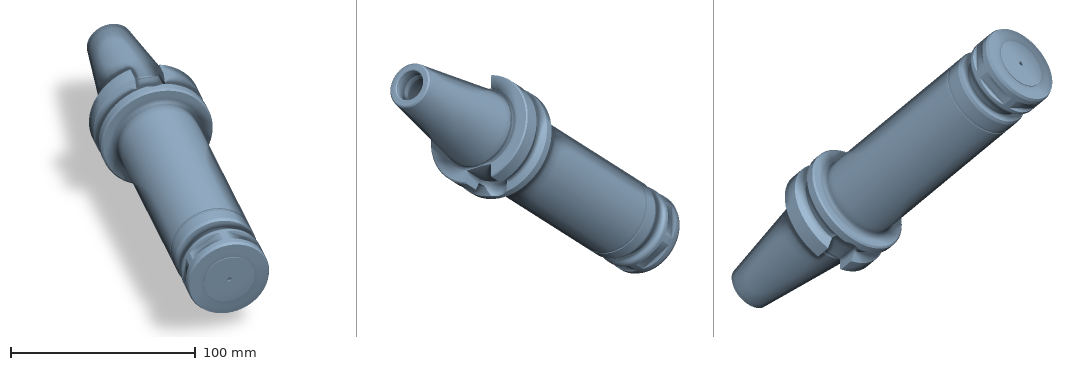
import cadquery as cq

total_length = 230.5
edge_bevel = 0.7

taper_rate = 7 / 24
taper_length = 65.5
gauge_radius = 22.23
taper_tip_radius = gauge_radius - taper_length * taper_rate / 2

neck_radius = 22.0
neck_fillet = 1.0

flange_start = 67.5
recess_radius = 24.0
recess_depth = 0.5
recess_floor = flange_start + recess_depth
flange_end = 92.5
flange_radius = 31.45
flange_rear_bevel = 1.0
groove_floor_start = 80.0
groove_floor_end = 84.0
groove_floor_radius = 26.5
groove_front_flare = 3.2
groove_rear_flare = 3.0

slot_width = 16.1
slot_end = 88.5
slot_floor = 22.46

body_end = 207.0
body_radius = 23.0
body_fillet = 2.3
body_bevel_length = 1.8
ring_start = 195.5
ring_end = 197.7
ring_depth = 0.35

stem_radius = 18.0
nut_start = 213.8
nut_end = 230.0
nut_radius = 23.0
nut_fillet = 2.3
nut_bevel_length = 1.5
nose_radius = 14.3

flat_count = 6
flat_start = 218.2
flat_end = 224.6
across_flats = 41.7
flat_distance = across_flats / 2
flat_wall_slope = 0.3

entry_radius = 9.0
counterbore_radius = 8.5
counterbore_depth = 7.4
lead_in_radius = 7.95
lead_in_length = 1.8
thread_radius = 7.03
thread_depth = 30.0
coolant_chamber_radius = 4.5
coolant_chamber_depth = 46.0
coolant_radius = 1.27


def make_holder():
    """Revolved outer shape, from the taper tip to the nose of the nut."""
    profile = (
        cq.Workplane("XY")
        .lineTo(0, taper_tip_radius - edge_bevel)
        .lineTo(edge_bevel, taper_tip_radius + edge_bevel * taper_rate / 2)
        .lineTo(taper_length, gauge_radius)
        .lineTo(taper_length + edge_bevel, neck_radius)
        .lineTo(recess_floor - neck_fillet, neck_radius)
        .radiusArc((recess_floor, neck_radius + neck_fillet), -neck_fillet)
        .lineTo(recess_floor, recess_radius)
        .lineTo(flange_start, recess_radius)
        .lineTo(flange_start, flange_radius - edge_bevel)
        .lineTo(flange_start + edge_bevel, flange_radius)
        .lineTo(groove_floor_start - groove_front_flare, flange_radius)
        .lineTo(groove_floor_start, groove_floor_radius)
        .lineTo(groove_floor_end, groove_floor_radius)
        .lineTo(groove_floor_end + groove_rear_flare, flange_radius)
        .lineTo(flange_end - flange_rear_bevel, flange_radius)
        .lineTo(flange_end, flange_radius - flange_rear_bevel)
        .lineTo(flange_end, body_radius + body_fillet)
        .radiusArc((flange_end + body_fillet, body_radius), -body_fillet)
        .lineTo(ring_start, body_radius)
        .lineTo(ring_start, body_radius - ring_depth)
        .lineTo(ring_end, body_radius - ring_depth)
        .lineTo(ring_end, body_radius)
        .lineTo(body_end - body_bevel_length, body_radius)
        .lineTo(body_end, body_radius - edge_bevel)
        .lineTo(body_end, stem_radius)
        .lineTo(nut_start, stem_radius)
        .lineTo(nut_start, nut_radius - nut_fillet)
        .radiusArc((nut_start + nut_fillet, nut_radius), nut_fillet)
        .lineTo(nut_end - nut_bevel_length, nut_radius)
        .lineTo(nut_end, nut_radius - edge_bevel)
        .lineTo(nut_end, nose_radius)
        .lineTo(total_length, nose_radius)
        .lineTo(total_length, 0)
        .close()
    )
    return profile.revolve(360, (0, 0, 0), (1, 0, 0))


def make_bore():
    """Stepped hole from the taper tip, ending in a coolant passage right through."""
    entry_bevel = entry_radius - counterbore_radius
    profile = (
        cq.Workplane("XY")
        .lineTo(0, entry_radius)
        .lineTo(entry_bevel, counterbore_radius)
        .lineTo(counterbore_depth, counterbore_radius)
        .lineTo(counterbore_depth, lead_in_radius)
        .lineTo(counterbore_depth + lead_in_length, thread_radius)
        .lineTo(thread_depth, thread_radius)
        .lineTo(thread_depth, coolant_chamber_radius)
        .lineTo(coolant_chamber_depth, coolant_chamber_radius)
        .lineTo(coolant_chamber_depth, coolant_radius)
        .lineTo(total_length, coolant_radius)
        .lineTo(total_length, 0)
        .close()
    )
    return profile.revolve(360, (0, 0, 0), (1, 0, 0))


def make_drive_slot():
    """Round-ended slot on the +Z side, open toward the taper."""
    half_width = slot_width / 2
    arc_center = slot_end - half_width
    return (
        cq.Workplane("XY", origin=(0, 0, slot_floor))
        .moveTo(taper_length, -half_width)
        .lineTo(arc_center, -half_width)
        .threePointArc((slot_end, 0), (arc_center, half_width))
        .lineTo(taper_length, half_width)
        .close()
        .extrude(flange_radius)
    )


def make_wrench_flat():
    """Flat pocket on the -Y side of the nut, with end walls that lean outward."""
    pocket_depth = 2 * (nut_radius - flat_distance)
    lean = flat_wall_slope * pocket_depth
    outer = -flat_distance - pocket_depth
    return (
        cq.Workplane("XY")
        .moveTo(flat_start, -flat_distance)
        .lineTo(flat_end, -flat_distance)
        .lineTo(flat_end + lean, outer)
        .lineTo(flat_start - lean, outer)
        .close()
        .extrude(nut_radius, both=True)
    )


result = make_holder().cut(make_bore())

drive_slot = make_drive_slot()
for angle in (0, 180):
    result = result.cut(drive_slot.rotate((0, 0, 0), (1, 0, 0), angle))

wrench_flat = make_wrench_flat()
for index in range(flat_count):
    angle = index * 360 / flat_count
    result = result.cut(wrench_flat.rotate((0, 0, 0), (1, 0, 0), angle))